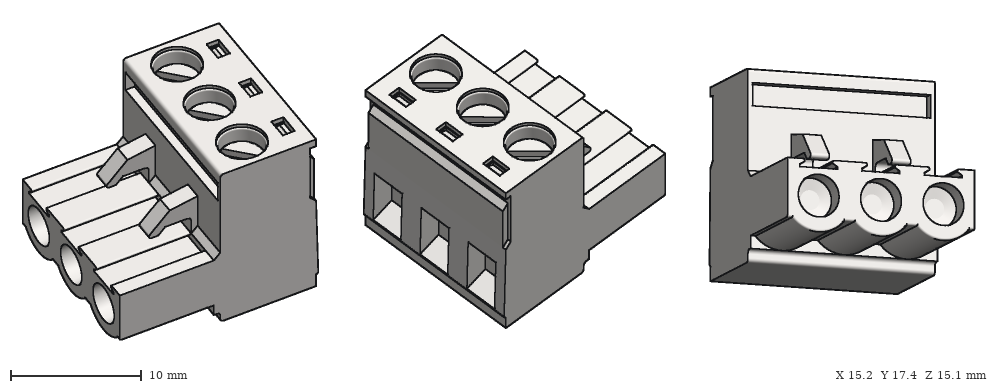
import cadquery as cq
import math


POLES = 3
PITCH = 5.08
WIDTH = POLES * PITCH
HEIGHT = 15.1
OVERALL_DEPTH = 17.4
POLE_POSITIONS = [(i - (POLES - 1) / 2) * PITCH for i in range(POLES)]

BLOCK_FRONT = 8.8
BLOCK_BACK = 17.21
EDGE_RADIUS = 0.3
NOSE_TOP = 6.57
NOSE_BOTTOM = 0.96
NOSE_ROOT = 8.24
ROOT_CHAMFER = BLOCK_FRONT - NOSE_ROOT

BULGE_TOP = 8.77
BULGE_BOTTOM = 1.35
BULGE_LIP = OVERALL_DEPTH - BLOCK_BACK

GROOVE_DEPTH = 0.53
GROOVE_TOP = 14.38
GROOVE_BOTTOM = BULGE_TOP
RIB_END_GAP = 0.33
RIB_TOP_GAP = 1.03
RIB_WIDTH = WIDTH - 2 * RIB_END_GAP
RIB_TOP = GROOVE_TOP - RIB_TOP_GAP

WIRE_WIDTH = 3.0
WIRE_TOP = 6.6
WIRE_BOTTOM = 1.5
WIRE_DEPTH = 2.0
WIRE_FLOOR_RISE = 0.7

CONTACT_Z = 3.76
SLEEVE_RADIUS = CONTACT_Z - NOSE_BOTTOM
FLAT_Z = 1.95
NOSE_EDGE_RADIUS = 0.16

CONTACT_RADIUS = 1.66
CONTACT_DEPTH = 1.7
CONE_END_RADIUS = 0.77
CONE_DEPTH = 0.25

DOVETAIL_MOUTH = 1.13
DOVETAIL_BASE = 1.54
DOVETAIL_DEPTH = 0.65
DOVETAIL_SIDE = 0.16
LIP_RADIUS = 0.15
LIP_HEIGHT = 0.21

LATCH_WIDTH = 1.53
LATCH_OFFSET = 3.315
LATCH_ROOT_TOP = 10.17
LATCH_ARM_BOTTOM = 8.24
LATCH_KNEE = (6.35, 9.76)
LATCH_HOOK_START = 5.96
LATCH_HOOK_DROP = 0.62
LATCH_TIP_RADIUS = 0.23
LATCH_INNER_RADIUS = 0.4

LABEL_WIDTH = 14.5
LABEL_BOTTOM = 12.19
LABEL_TOP = 14.0
LABEL_DEPTH = 0.8

SCREW_Y = 12.12
WELL_RADIUS = 2.0
WELL_RIM_DEPTH = 0.3
BORE_RADIUS = 1.85
BORE_EDGE_RADIUS = WELL_RADIUS - BORE_RADIUS
HEAD_EDGE_DEPTH = 1.7
HEAD_RADIUS = 1.66
HEAD_EDGE_RADIUS = BORE_RADIUS - HEAD_RADIUS
SLOT_WIDTH = 0.82
SLOT_DEPTH = 0.62
SLOT_ANGLE = 45

TEST_WIDTH = 1.8
TEST_FRONT = 15.2
TEST_BACK = 16.25
TEST_DEPTH = 0.45
TEST_INSET_X = 0.11
TEST_INSET_Y = 0.07
TEST_LEDGE = 0.39
TEST_LEDGE_DEPTH = 0.55
TEST_RAMP_DEPTH = 0.8


def box(x_range, y_range, z_range):
    """Box between two limits on every axis."""
    (x0, x1), (y0, y1), (z0, z1) = x_range, y_range, z_range
    return cq.Workplane("XY").box(x1 - x0, y1 - y0, z1 - z0, centered=False).translate((x0, y0, z0))


def prism_along_x(points, width, center_x=0.0):
    """Closed (Y, Z) outline extruded symmetrically about center_x."""
    outline = cq.Workplane("YZ").polyline(points).close()
    return outline.extrude(width / 2, both=True).translate((center_x, 0, 0))


def make_housing():
    """Side outline of the housing, extruded over all poles."""
    outline = [
        (0, NOSE_BOTTOM),
        (BLOCK_FRONT, NOSE_BOTTOM),
        (BLOCK_FRONT, 0),
        (BLOCK_BACK, 0),
        (BLOCK_BACK, BULGE_BOTTOM - BULGE_LIP),
        (OVERALL_DEPTH, BULGE_BOTTOM),
        (BLOCK_BACK, BULGE_TOP),
        (BLOCK_BACK, HEIGHT),
        (BLOCK_FRONT, HEIGHT),
        (BLOCK_FRONT, NOSE_TOP + ROOT_CHAMFER),
        (NOSE_ROOT, NOSE_TOP),
        (0, NOSE_TOP),
    ]
    housing = prism_along_x(outline, WIDTH)
    for edge_z in (0, NOSE_BOTTOM, HEIGHT):
        edge = cq.selectors.NearestToPointSelector((0, BLOCK_FRONT, edge_z))
        housing = housing.edges(edge).fillet(EDGE_RADIUS)
    return housing


def nose_underside_cut():
    """Material removed below the nose, leaving the sleeves with rounded front edges."""
    cut = box((-WIDTH / 2, WIDTH / 2), (0, NOSE_ROOT), (0, CONTACT_Z))
    keep = box((-WIDTH / 2, WIDTH / 2), (0, NOSE_ROOT), (FLAT_Z, CONTACT_Z))
    for x in POLE_POSITIONS:
        sleeve = cq.Workplane("XZ", origin=(x, 0, CONTACT_Z)).circle(SLEEVE_RADIUS).extrude(-NOSE_ROOT)
        keep = keep.union(sleeve)
    keep = keep.intersect(cut)
    front_edges = keep.faces("<Y").edges(cq.selectors.BoxSelector(
        (-WIDTH, -NOSE_EDGE_RADIUS, 0), (WIDTH, NOSE_EDGE_RADIUS, FLAT_Z + NOSE_EDGE_RADIUS)))
    return cut.cut(front_edges.fillet(NOSE_EDGE_RADIUS))


def contact_hole(x):
    """Round hole from the mating face, closed by a cone with a flat end."""
    profile = [
        (0, 0),
        (CONTACT_RADIUS, 0),
        (CONTACT_RADIUS, CONTACT_DEPTH),
        (CONE_END_RADIUS, CONTACT_DEPTH + CONE_DEPTH),
        (0, CONTACT_DEPTH + CONE_DEPTH),
    ]
    hole = cq.Workplane("XY").polyline(profile).close().revolve(360, (0, 0, 0), (0, 1, 0))
    return hole.translate((x, 0, CONTACT_Z))


def dovetail_groove(x):
    """Dovetail groove with rounded lips, running from the mating face to the block."""
    floor_z = -DOVETAIL_DEPTH
    side_z = floor_z + DOVETAIL_SIDE
    mouth = DOVETAIL_MOUTH + LIP_RADIUS
    bend = LIP_RADIUS * (1 - math.sqrt(0.5))
    outline = (
        cq.Workplane("XZ", origin=(x, 0, NOSE_TOP))
        .moveTo(-mouth, 0)
        .threePointArc((-DOVETAIL_MOUTH - bend, -bend), (-DOVETAIL_MOUTH, -LIP_RADIUS))
        .lineTo(-DOVETAIL_MOUTH, -LIP_HEIGHT)
        .lineTo(-DOVETAIL_BASE, side_z)
        .lineTo(-DOVETAIL_BASE, floor_z)
        .lineTo(DOVETAIL_BASE, floor_z)
        .lineTo(DOVETAIL_BASE, side_z)
        .lineTo(DOVETAIL_MOUTH, -LIP_HEIGHT)
        .lineTo(DOVETAIL_MOUTH, -LIP_RADIUS)
        .threePointArc((DOVETAIL_MOUTH + bend, -bend), (mouth, 0))
        .close()
    )
    return outline.extrude(-NOSE_ROOT)


def latch(x):
    """Latch arm on the root of the nose, ending in a hook with 45 degree flanks."""
    knee_y, knee_z = LATCH_KNEE
    hook_y = LATCH_HOOK_START - LATCH_HOOK_DROP
    hook_z = LATCH_ARM_BOTTOM - LATCH_HOOK_DROP
    tip_y = knee_y - (knee_z - hook_z)
    outline = [
        (BLOCK_FRONT, NOSE_TOP),
        (BLOCK_FRONT, LATCH_ROOT_TOP),
        (knee_y, knee_z),
        (tip_y, hook_z),
        (hook_y, hook_z),
        (LATCH_HOOK_START, LATCH_ARM_BOTTOM),
        (NOSE_ROOT, LATCH_ARM_BOTTOM),
        (NOSE_ROOT, NOSE_TOP),
    ]
    arm = prism_along_x(outline, LATCH_WIDTH, x)
    inner_corner = cq.selectors.NearestToPointSelector((x, NOSE_ROOT, LATCH_ARM_BOTTOM))
    tip = cq.selectors.NearestToPointSelector((x, tip_y, hook_z))
    return arm.edges(tip).fillet(LATCH_TIP_RADIUS).edges(inner_corner).fillet(LATCH_INNER_RADIUS)


def label_pocket():
    """Shallow pocket for a label strip in the front of the block."""
    return box(
        (-LABEL_WIDTH / 2, LABEL_WIDTH / 2),
        (BLOCK_FRONT, BLOCK_FRONT + LABEL_DEPTH),
        (LABEL_BOTTOM, LABEL_TOP),
    )


def screw_well(x):
    """Stepped well with a rounded shoulder, down to a slotted screw head with a rounded rim."""
    head_top = HEAD_EDGE_DEPTH - HEAD_EDGE_RADIUS
    shoulder_end = WELL_RIM_DEPTH + BORE_EDGE_RADIUS
    arc_offset = 1 - math.sqrt(0.5)
    shoulder_middle = (
        BORE_RADIUS + BORE_EDGE_RADIUS * arc_offset,
        -WELL_RIM_DEPTH - BORE_EDGE_RADIUS * arc_offset,
    )
    rim_middle = (
        BORE_RADIUS - HEAD_EDGE_RADIUS * arc_offset,
        -head_top - HEAD_EDGE_RADIUS * arc_offset,
    )
    profile = (
        cq.Workplane("XZ")
        .lineTo(WELL_RADIUS, 0)
        .lineTo(WELL_RADIUS, -WELL_RIM_DEPTH)
        .threePointArc(shoulder_middle, (BORE_RADIUS, -shoulder_end))
        .lineTo(BORE_RADIUS, -HEAD_EDGE_DEPTH)
        .threePointArc(rim_middle, (HEAD_RADIUS, -head_top))
        .lineTo(0, -head_top)
        .close()
    )
    well = profile.revolve(360, (0, 0, 0), (0, 1, 0))
    bore = cq.Workplane("XY").circle(BORE_RADIUS).extrude(-head_top - SLOT_DEPTH)
    bar = cq.Workplane("XY").rect(2 * WELL_RADIUS, SLOT_WIDTH).extrude(-head_top - SLOT_DEPTH)
    slot = bar.rotate((0, 0, 0), (0, 0, 1), SLOT_ANGLE).intersect(bore)
    return well.union(slot).translate((x, SCREW_Y, HEIGHT))


def test_opening(x):
    """Stepped rectangular opening with a ledge and a ramp at its bottom."""
    half = TEST_WIDTH / 2
    opening = box((x - half, x + half), (TEST_FRONT, TEST_BACK), (HEIGHT - TEST_DEPTH, HEIGHT))
    inner_front = TEST_FRONT + TEST_INSET_Y
    inner = [
        (TEST_BACK, HEIGHT - TEST_DEPTH),
        (TEST_BACK, HEIGHT - TEST_LEDGE_DEPTH),
        (TEST_BACK - TEST_LEDGE, HEIGHT - TEST_LEDGE_DEPTH),
        (inner_front, HEIGHT - TEST_RAMP_DEPTH),
        (inner_front, HEIGHT - TEST_DEPTH),
    ]
    return opening.union(prism_along_x(inner, TEST_WIDTH - 2 * TEST_INSET_X, x))


def wire_side_groove():
    """Groove along the wire side, with a ramp at its lower edge and a rib left along its middle."""
    groove_floor = BLOCK_BACK - GROOVE_DEPTH
    groove = prism_along_x([
        (BLOCK_BACK, GROOVE_TOP),
        (groove_floor, GROOVE_TOP),
        (groove_floor, GROOVE_BOTTOM + GROOVE_DEPTH),
        (BLOCK_BACK, GROOVE_BOTTOM),
    ], WIDTH)
    rib = prism_along_x([
        (groove_floor, GROOVE_BOTTOM),
        (BLOCK_BACK, GROOVE_BOTTOM),
        (BLOCK_BACK, RIB_TOP - GROOVE_DEPTH),
        (groove_floor, RIB_TOP),
    ], RIB_WIDTH)
    return groove.cut(rib)


def wire_opening(x):
    """Wire entry in the wire side, its floor falling towards the outside."""
    inner_y = OVERALL_DEPTH - WIRE_DEPTH
    outline = [
        (inner_y, WIRE_BOTTOM + WIRE_FLOOR_RISE),
        (OVERALL_DEPTH, WIRE_BOTTOM),
        (OVERALL_DEPTH, WIRE_TOP),
        (inner_y, WIRE_TOP),
    ]
    return prism_along_x(outline, WIRE_WIDTH, x)


result = make_housing()
result = result.cut(nose_underside_cut())
result = result.cut(label_pocket())
result = result.cut(wire_side_groove())
for pole_x in POLE_POSITIONS:
    result = result.cut(contact_hole(pole_x))
    result = result.cut(dovetail_groove(pole_x))
    result = result.cut(screw_well(pole_x))
    result = result.cut(test_opening(pole_x))
    result = result.cut(wire_opening(pole_x))
for latch_x in (-LATCH_OFFSET, LATCH_OFFSET):
    result = result.union(latch(latch_x))